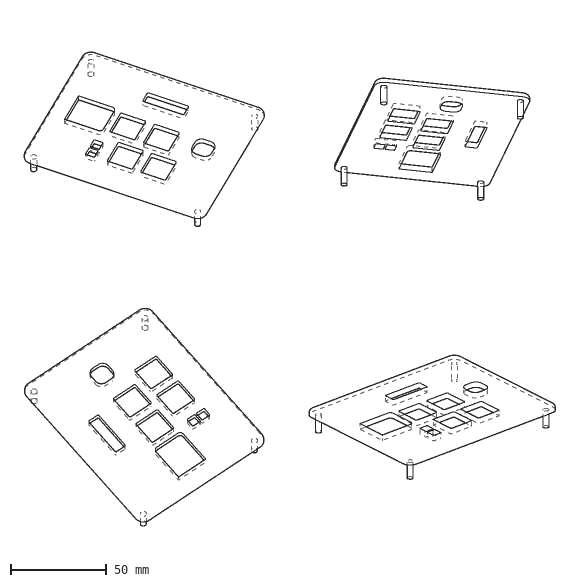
import cadquery as cq

PLATE_X = 103.5
PLATE_Y = 82.9
TOTAL_HEIGHT = 13.0
PLATE_THICKNESS = 3.2
CORNER_RADIUS = 5.0
TOP_FILLET = 2.0

PIN_DIAMETER = 3.2
PIN_LENGTH = TOTAL_HEIGHT - PLATE_THICKNESS
PIN_X = PLATE_X / 2 - CORNER_RADIUS
PIN_Y = PLATE_Y / 2 - CORNER_RADIUS

KEY_SIZE = 14.3
KEY_CORNER_RADIUS = 0.6
KEY_CENTERS = [(-9.6, 0.4), (9.6, 0.4), (-2.4, -18.8), (16.6, -18.8)]

DISPLAY_SIZE = (23.5, 6.5)
DISPLAY_CENTER = (2.0, 23.0)
DISPLAY_CORNER_RADIUS = 0.6

CONTROLLER_SIZE = (21.2, 17.8)
CONTROLLER_CENTER = (-31.0, 0.5)
CONTROLLER_CORNER_RADIUS = 2.0

KNOB_SIZE = 11.0
KNOB_CENTER = (32.4, 2.9)
KNOB_CORNER_RADIUS = 3.7

LIGHT_SIZE = 5.1
LIGHT_X = -19.2
LIGHT_Y = -20.8
LIGHT_PITCH = 6.1
LIGHT_CORNER_RADIUS = 0.4


def opening(size_x, size_y, center, corner_radius, rounded_edges="|Z"):
    """Cutter for a rectangular opening through the plate."""
    cutter = cq.Workplane("XY").box(size_x, size_y, PLATE_THICKNESS, centered=(True, True, False))
    cutter = cutter.edges(rounded_edges).fillet(corner_radius)
    return cutter.translate((center[0], center[1], 0))


def make_plate():
    """Plate with rounded corners and a rounded top rim."""
    plate = cq.Workplane("XY").box(PLATE_X, PLATE_Y, PLATE_THICKNESS, centered=(True, True, False))
    plate = plate.edges("|Z").fillet(CORNER_RADIUS)
    return plate.faces(">Z").edges().fillet(TOP_FILLET)


def make_pins():
    """Four pins hanging below the plate."""
    pins = cq.Workplane("XY").rect(2 * PIN_X, 2 * PIN_Y, forConstruction=True).vertices()
    return pins.circle(PIN_DIAMETER / 2).extrude(-PIN_LENGTH)


result = make_plate().union(make_pins())

for key_center in KEY_CENTERS:
    result = result.cut(opening(KEY_SIZE, KEY_SIZE, key_center, KEY_CORNER_RADIUS))

result = result.cut(opening(*DISPLAY_SIZE, DISPLAY_CENTER, DISPLAY_CORNER_RADIUS))
result = result.cut(opening(*CONTROLLER_SIZE, CONTROLLER_CENTER, CONTROLLER_CORNER_RADIUS, "|Z and >X"))
result = result.cut(opening(KNOB_SIZE, KNOB_SIZE, KNOB_CENTER, KNOB_CORNER_RADIUS))

for side in (-1, 1):
    light_center = (LIGHT_X, LIGHT_Y + side * LIGHT_PITCH / 2)
    result = result.cut(opening(LIGHT_SIZE, LIGHT_SIZE, light_center, LIGHT_CORNER_RADIUS))